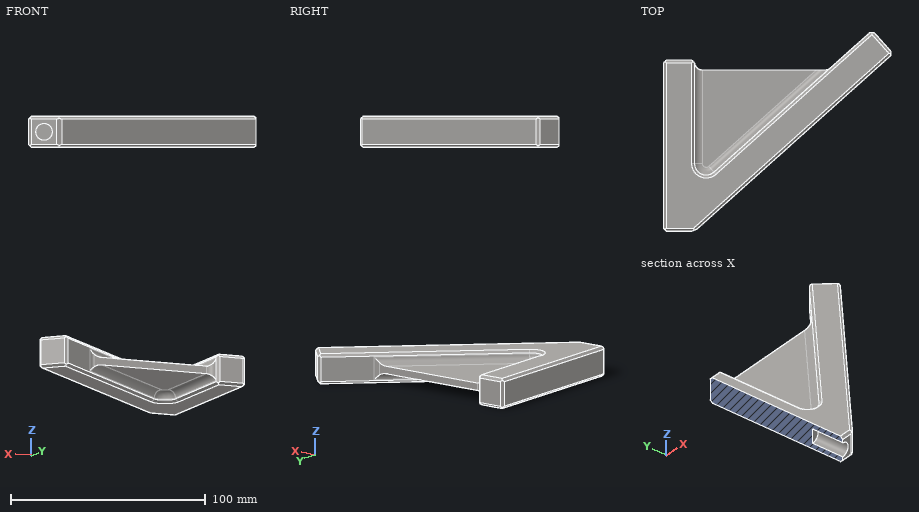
import cadquery as cq
import math

overall_length = 117.1
thickness = 16.0
upright_length = 88.2
slant_angle = 41.85
edge_chamfer = 1.5
crotch_radius = 6.0
web_thickness = 4.0
web_end_y = 83.0
web_fillet = 4.0
hole_diameter = 8.5
hole_depth = 19.9

cos_slant = math.cos(math.radians(slant_angle))
sin_slant = math.sin(math.radians(slant_angle))
slanted_length = (overall_length - thickness + edge_chamfer * sin_slant) / cos_slant
blend_height = web_thickness + 2 * web_fillet
mid_height = thickness / 2


def slanted_point(along, across):
    """Point measured along and across the slanted arm from its outer corner."""
    return (
        thickness + along * cos_slant - across * sin_slant,
        along * sin_slant + across * cos_slant,
    )


def inner_slant_x(y):
    """X of the slanted arm's inner side at a given Y."""
    return thickness + (y * cos_slant - thickness) / sin_slant


crotch = (thickness, thickness / cos_slant)


def make_frame():
    """Two square arms in a V, with every outer edge chamfered."""
    outline = [
        (0, 0),
        (thickness, 0),
        slanted_point(slanted_length, 0),
        slanted_point(slanted_length, thickness),
        crotch,
        (thickness, upright_length),
        (0, upright_length),
    ]
    crotch_selector = cq.selectors.NearestToPointSelector((*crotch, mid_height))
    prism = (
        cq.Workplane("XY")
        .polyline(outline)
        .close()
        .extrude(thickness)
        .edges("|Z")
        .edges(crotch_selector)
        .fillet(crotch_radius)
    )
    rims_chamfered = prism.faces("|Z").edges().chamfer(edge_chamfer)

    outer_corners = [
        edge
        for edge in prism.edges("|Z").vals()
        if math.dist(edge.Center().toTuple()[:2], crotch) > 2 * crotch_radius
    ]
    corners_chamfered = prism.newObject(outer_corners).chamfer(edge_chamfer)
    return rims_chamfered.intersect(corners_chamfered)


def between_arms(end_y, height):
    """Block filling the V between the arms up to a given Y, centred on Z = 0."""
    return (
        cq.Workplane("XY")
        .polyline([crotch, (thickness, end_y), (inner_slant_x(end_y), end_y)])
        .close()
        .extrude(height / 2, both=True)
        .edges("|Z")
        .edges("<Y")
        .fillet(crotch_radius)
    )


def make_web():
    """Central web with fillets rising onto the arms above and below it."""
    blend_end_y = upright_length - edge_chamfer
    beyond_y = upright_length + thickness
    web = between_arms(blend_end_y, blend_height)

    pocket = between_arms(beyond_y, thickness).faces("<Z").edges().fillet(web_fillet)
    pocket = pocket.translate((0, 0, (web_thickness + thickness) / 2))
    web = web.cut(pocket).cut(pocket.mirror("XY"))

    notch = (
        cq.Workplane("XY")
        .polyline([
            (thickness, web_end_y),
            (inner_slant_x(web_end_y), web_end_y),
            (inner_slant_x(beyond_y), beyond_y),
            (thickness, beyond_y),
        ])
        .close()
        .extrude(thickness, both=True)
        .faces("<Y")
        .edges("|Z")
        .fillet(web_fillet)
    )
    return web.cut(notch).translate((0, 0, mid_height))


def make_hole():
    """Blind hole in the foot of the upright arm."""
    return (
        cq.Workplane("XZ", origin=(mid_height, 0, mid_height))
        .circle(hole_diameter / 2)
        .extrude(-hole_depth)
    )


result = make_frame().union(make_web()).cut(make_hole())